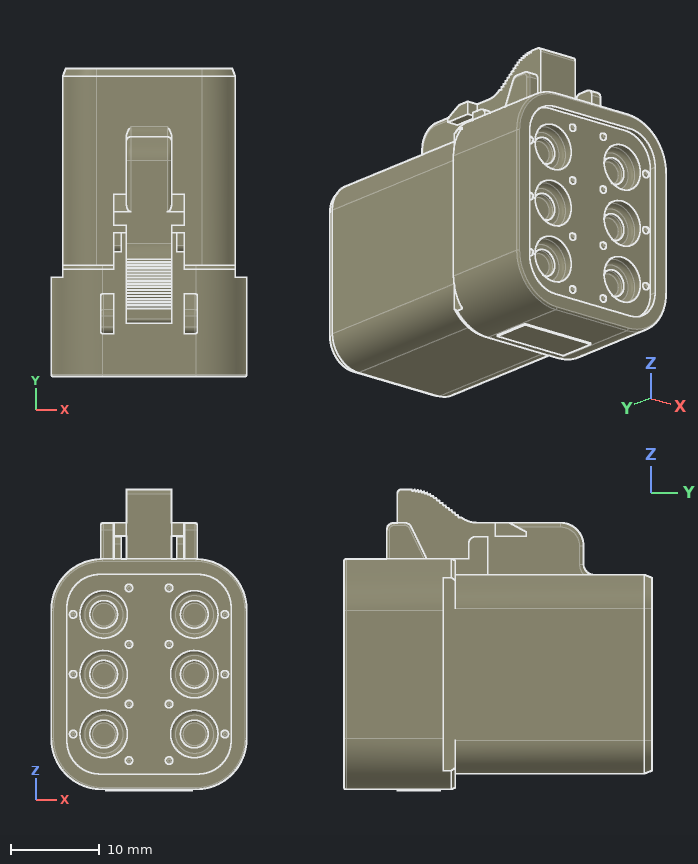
import cadquery as cq
import math


length = 34.7
body_width = 19.43
body_height = 22.4
body_corner = 3.78
body_end_length = 0.87
body_end_inset = 0.35

collar_width = 22.05
collar_height = 25.95
collar_corner = 5.75
collar_length = 12.55
collar_side_length = 11.2
collar_front_fillet = 0.25
collar_back_length = 0.45
collar_back_inset = 0.2

pad_width = 9.7
pad_start = 6.0
pad_end = 10.83
pad_thickness = 0.15

recess_width = 18.5
recess_height = 22.5
recess_corner = 3.7
recess_depth = 0.85

column_offset = 5.1
row_pitch = 6.73
cavity_radius = 2.67
cavity_depth = 1.55
cavity_fillet = 0.52
socket_radius = 1.55
socket_depth = 0.7
socket_fillet = 0.28

bump_radius = 0.4
bump_height = 0.28
bump_fillet = 0.25
side_bump_offset = 8.55
inner_bump_offset = 2.25
inner_bump_heights = (3.35, 9.7)

latch_width = 5.1
latch_front = 6.0
latch_back = 27.0
latch_top = 17.07
latch_back_radius = 2.65
latch_foot_radius = 1.18
latch_edge_fillet = 0.5
latch_tip_fillet = 0.5
ramp_start = 15.0
ramp_end = 7.65
ramp_peak = 20.82
ramp_slope = math.radians(38)
ramp_foot_radius = 3.0
tooth_count = 16
tooth_pitch = 0.35
tooth_tread = 0.26
tooth_depth = 0.225

wing_width = 7.9
wing_front = 17.05
wing_back = 20.5
wing_crest = 18.55
wing_bottom = 15.55
wing_back_top = 16.03

ledge_back = 16.2
post_thickness = 0.85
post_front = 14.05
post_top = 15.48
post_fillet = 0.75

fin_inner = 4.0
fin_outer = 5.45
fin_front = 4.82
fin_foot = 9.35
fin_crest = 7.35
fin_top = 17.05
fin_root = 11.73
fin_fillet = 0.75
fin_edge_fillet = 0.28

body_top = body_height / 2
collar_top = collar_height / 2


def rounded_block(width, height, corner, start, end):
    """Block along Y from start to end with rounded corners in the XZ plane."""
    return (
        cq.Workplane("XZ", origin=(0, start, 0))
        .rect(width, height)
        .extrude(start - end)
        .edges("|Y")
        .fillet(corner)
    )


def box_between(x_range, y_range, z_range):
    """Box given by its two limits along each axis."""
    corners = list(zip(x_range, y_range, z_range))
    size = [high - low for low, high in zip(*corners)]
    return cq.Workplane("XY").box(*size, centered=False).translate(corners[0])


def side_plane(x_low):
    """Workplane at X = x_low for outlines in Y and Z that are extruded towards +X."""
    return cq.Workplane("YZ", origin=(x_low, 0, 0))


def make_body():
    body = rounded_block(body_width, body_height, body_corner, 0, length)
    return body.faces(">Y").chamfer(body_end_length, body_end_inset)


def make_collar():
    collar = rounded_block(collar_width, collar_height, collar_corner, 0, collar_length)
    collar = collar.faces("<Y").edges().fillet(collar_front_fillet)
    collar = collar.faces(">Y").chamfer(collar_back_length, collar_back_inset)
    for side in (-1, 1):
        x_range = sorted((side * body_width / 2, side * collar_width / 2))
        step = box_between(x_range, (collar_side_length, collar_length), (-collar_top, collar_top))
        collar = collar.cut(step)
    pad = box_between(
        (-pad_width / 2, pad_width / 2), (pad_start, pad_end), (-collar_top - pad_thickness, 0)
    )
    return collar.union(pad)


def cylinder_inward(radius, start, depth):
    """Cylinder that runs from Y = start into the housing."""
    return cq.Workplane("XZ", origin=(0, start, 0)).circle(radius).extrude(-depth)


def make_cavity():
    cavity = cylinder_inward(cavity_radius, recess_depth, cavity_depth)
    cavity = cavity.faces(">Y").edges().fillet(cavity_fillet)
    socket = cylinder_inward(socket_radius, recess_depth + cavity_depth, socket_depth)
    socket = socket.faces(">Y").edges().fillet(socket_fillet)
    return cavity.union(socket)


def make_bump():
    bump = cylinder_inward(bump_radius, recess_depth - bump_height, 2 * bump_height)
    return bump.faces("<Y").edges().fillet(bump_fillet)


def ramp_point(y):
    """Point of the finger ramp at y: a concave foot, a straight slope and a convex crest."""
    foot_end = ramp_start - ramp_foot_radius * math.sin(ramp_slope)
    foot_rise = ramp_foot_radius * (1 - math.cos(ramp_slope))
    slope_gain = (foot_end - ramp_end) * math.tan(ramp_slope)
    excess = latch_top + foot_rise + slope_gain - ramp_peak
    crest_radius = excess / (math.sin(ramp_slope) * math.tan(ramp_slope) - 1 + math.cos(ramp_slope))
    crest_start = ramp_end + crest_radius * math.sin(ramp_slope)
    if y > foot_end:
        run = ramp_start - y
        return y, latch_top + ramp_foot_radius - math.sqrt(ramp_foot_radius**2 - run**2)
    if y > crest_start:
        return y, latch_top + foot_rise + (foot_end - y) * math.tan(ramp_slope)
    run = y - ramp_end
    return y, ramp_peak - crest_radius + math.sqrt(crest_radius**2 - run**2)


def make_latch_arm():
    """Back part of the latch, which rises from the body and has rounded upper edges."""
    diagonal = math.sqrt(0.5)
    foot_edge = latch_back + latch_foot_radius
    foot_top = body_top + latch_foot_radius
    arc_start = latch_back - latch_back_radius
    arc_base = latch_top - latch_back_radius
    arm = (
        side_plane(-latch_width / 2)
        .moveTo(wing_crest, 0)
        .lineTo(foot_edge, 0)
        .lineTo(foot_edge, body_top)
        .threePointArc(
            (foot_edge - latch_foot_radius * diagonal, foot_top - latch_foot_radius * diagonal),
            (latch_back, foot_top),
        )
        .lineTo(latch_back, arc_base)
        .threePointArc(
            (arc_start + latch_back_radius * diagonal, arc_base + latch_back_radius * diagonal),
            (arc_start, latch_top),
        )
        .lineTo(wing_crest, latch_top)
        .close()
        .extrude(latch_width)
    )
    return arm.faces(">Z").edges("|Y").fillet(latch_edge_fillet)


def make_latch_lever():
    """Front part of the latch, with the toothed ramp that the finger presses."""
    first_tooth = ramp_end + tooth_count * tooth_pitch
    outline = (
        side_plane(-latch_width / 2)
        .moveTo(latch_front, 0)
        .lineTo(wing_crest, 0)
        .lineTo(wing_crest, latch_top)
        .lineTo(ramp_start, latch_top)
        .threePointArc(ramp_point((ramp_start + first_tooth) / 2), ramp_point(first_tooth))
    )
    for tooth in range(tooth_count):
        tip_y = first_tooth - tooth * tooth_pitch
        root_y, ramp_z = ramp_point(tip_y - tooth_tread)
        outline = outline.lineTo(root_y, ramp_z - tooth_depth).lineTo(*ramp_point(tip_y - tooth_pitch))
    lever = outline.lineTo(latch_front, ramp_peak).close().extrude(latch_width)
    tip_edge = cq.NearestToPointSelector((0, latch_front, ramp_peak))
    return lever.edges(tip_edge).fillet(latch_tip_fillet)


def make_wings():
    return (
        side_plane(-wing_width / 2)
        .moveTo(wing_front, wing_bottom)
        .lineTo(wing_back, wing_bottom)
        .lineTo(wing_back, wing_back_top)
        .lineTo(wing_crest, latch_top)
        .lineTo(wing_front, latch_top)
        .close()
        .extrude(wing_width)
    )


def make_ledge():
    half = wing_width / 2
    ledge = box_between((-half, half), (collar_side_length, ledge_back), (0, collar_top))
    for x_low in (-half, half - post_thickness):
        post = box_between((x_low, x_low + post_thickness), (post_front, ledge_back), (0, post_top))
        post = post.edges("|X and <Y and >Z").fillet(post_fillet)
        ledge = ledge.union(post)
    return ledge


def make_fin():
    """Guard fin on the +X side, its root buried in the collar."""
    slope = (fin_foot - fin_crest) / (fin_top - collar_top)
    fin = (
        side_plane(fin_inner)
        .moveTo(fin_front, fin_root)
        .lineTo(fin_foot + slope * (collar_top - fin_root), fin_root)
        .lineTo(fin_crest, fin_top)
        .lineTo(fin_front, fin_top)
        .close()
        .extrude(fin_outer - fin_inner)
    )
    fin = fin.faces(">Z").edges("|X").fillet(fin_fillet)
    return fin.faces(">X").edges("not <Z").fillet(fin_edge_fillet)


def make_housing():
    housing = make_body().union(make_collar()).union(make_ledge())
    housing = housing.union(make_latch_arm()).union(make_latch_lever()).union(make_wings())
    fin = make_fin()
    housing = housing.union(fin).union(fin.mirror("YZ"))

    recess = rounded_block(recess_width, recess_height, recess_corner, 0, recess_depth)
    housing = housing.cut(recess)

    cavity = make_cavity()
    bump = make_bump()
    for side in (-1, 1):
        for row in (-1, 0, 1):
            z = row * row_pitch
            housing = housing.cut(cavity.translate((side * column_offset, 0, z)))
            housing = housing.union(bump.translate((side * side_bump_offset, 0, z)))
        for height in inner_bump_heights:
            for z in (-height, height):
                housing = housing.union(bump.translate((side * inner_bump_offset, 0, z)))
    return housing


result = make_housing()